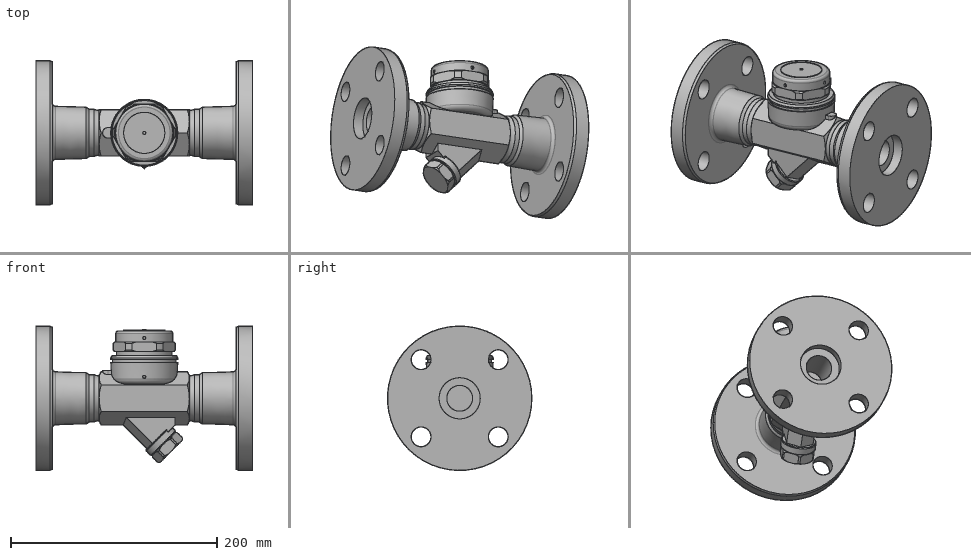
import cadquery as cq
import math

half_length = 105.0
flange_dia = 140.0
flange_back_x = 89.0
flange_chamfer_length = 2.5
flange_chamfer_depth = 1.0
bolt_hole_dia = 19.0
bolt_hole_offset = 37.4
socket_dia = 40.0
socket_depth = 10.0
bore_dia = 25.0
stub_root_dia = 51.7
stub_root_fillet = 3.2
stub_tip_dia = 50.0
stub_tip_x = 56.3
neck_dia = 46.0
neck_outer_x = 53.3
neck_inner_x = 48.7
neck_rounding = 1.0

body_half_length = 44.0
body_across_flats = 45.0
body_end_dia = 43.3
body_chamfer_length = 2.3

bonnet_dia = 65.0
bonnet_base_dia = 63.8
bonnet_bottom_z = 13.6
bonnet_fillet = 5.2
groove_dia = 62.0
groove_bottom_z = 34.6
groove_top_z = 37.5
rim_top_z = 41.4
rim_chamfer_length = 2.3
rim_chamfer_depth = 1.3

cap_neck_dia = 54.0
cap_hex_bottom_z = 45.2
cap_hex_top_z = 54.5
cap_hex_across_flats = 55.5
cap_hex_corner_dia = 60.5
cap_hex_chamfer = 1.5
cap_dia = 55.5
cap_top_z = 65.3
cap_fillet = 2.7
cap_disc_dia = 40.0
cap_disc_height = 0.6
cap_hole_z = 58.4
cap_hole_depth = 2.0
cap_hole_count = 4

small_dia = 3.0
top_pip_height = 0.6
side_pip_z = 20.8
side_pip_tip_y = -34.9

lug_width = 10.0
lug_end_x = -40.3
lug_top_z = 27.0

leg_axis_x = -25.2
leg_across_flats = 26.0
leg_length = 54.4
web_length = 57.3
web_side_x = 30.0
washer_dia = 34.0
washer_thickness = 8.0
washer_chamfer = 0.8
plug_across_flats = 30.5
plug_height = 10.3
plug_chamfer = 1.5

leg_plane = cq.Plane(origin=(leg_axis_x, 0, 0), xDir=(1, 0, 1), normal=(1, 0, -1))


def across_corners(across_flats):
    return across_flats / math.cos(math.pi / 6)


def cylinder(plane, diameter, start, height):
    """Cylinder along the normal of a plane, starting a given distance from it."""
    return cq.Workplane(plane).workplane(offset=start).circle(diameter / 2).extrude(height)


def hex_prism(plane, across_flats, start, height):
    """Hexagonal prism along the normal of a plane, with two corners on the local X axis."""
    corners = across_corners(across_flats)
    return cq.Workplane(plane).workplane(offset=start).polygon(6, corners).extrude(height)


def chamfered_hex(plane, across_flats, corner_dia, start, height, chamfer):
    """Hexagonal prism trimmed by a chamfered cylinder that blunts its corners."""
    trim = cylinder(plane, corner_dia, start, height).edges("%CIRCLE").chamfer(chamfer)
    return hex_prism(plane, across_flats, start, height).intersect(trim)


def make_body():
    plane = cq.Plane(origin=(0, 0, 0), xDir=(0, 0, 1), normal=(1, 0, 0))
    prism = hex_prism(plane, body_across_flats, -body_half_length, 2 * body_half_length)
    corner_radius = across_corners(body_across_flats) / 2
    shoulder_x = body_half_length - body_chamfer_length
    trim = (
        cq.Workplane("XY")
        .moveTo(-body_half_length, 0)
        .lineTo(-body_half_length, body_end_dia / 2)
        .lineTo(-shoulder_x, corner_radius)
        .lineTo(shoulder_x, corner_radius)
        .lineTo(body_half_length, body_end_dia / 2)
        .lineTo(body_half_length, 0)
        .close()
        .revolve(360, (0, 0, 0), (1, 0, 0))
    )
    return prism.intersect(trim)


def make_end():
    """Neck, tapered stub and flange on the +X side, drilled and bored."""
    neck_radius = neck_dia / 2
    root_radius = stub_root_dia / 2
    flange_radius = flange_dia / 2
    end = (
        cq.Workplane("XY")
        .moveTo(0, 0)
        .lineTo(0, neck_radius - neck_rounding)
        .lineTo(body_half_length, neck_radius - neck_rounding)
        .tangentArcPoint((neck_inner_x, neck_radius), relative=False)
        .lineTo(neck_outer_x, neck_radius)
        .lineTo(stub_tip_x, stub_tip_dia / 2)
        .lineTo(flange_back_x - stub_root_fillet, root_radius)
        .tangentArcPoint((flange_back_x, root_radius + stub_root_fillet), relative=False)
        .lineTo(flange_back_x, flange_radius - flange_chamfer_depth)
        .lineTo(flange_back_x + flange_chamfer_length, flange_radius)
        .lineTo(half_length, flange_radius)
        .lineTo(half_length, 0)
        .close()
        .revolve(360, (0, 0, 0), (1, 0, 0))
    )
    bolt_holes = (
        cq.Workplane("YZ", origin=(flange_back_x, 0, 0))
        .rect(2 * bolt_hole_offset, 2 * bolt_hole_offset, forConstruction=True)
        .vertices()
        .circle(bolt_hole_dia / 2)
        .extrude(half_length - flange_back_x)
    )
    bore = cylinder("YZ", bore_dia, body_half_length, half_length - body_half_length)
    socket = cylinder("YZ", socket_dia, half_length - socket_depth, socket_depth)
    return end.cut(bolt_holes).cut(bore).cut(socket)


def make_bonnet():
    """Turned bonnet with a rounded foot, a groove and a chamfered rim."""
    base_radius = bonnet_base_dia / 2
    radius = bonnet_dia / 2
    groove_radius = groove_dia / 2
    fillet_drop = bonnet_fillet * math.sqrt(0.5)
    return (
        cq.Workplane("XZ")
        .moveTo(0, bonnet_bottom_z)
        .lineTo(base_radius - bonnet_fillet, bonnet_bottom_z)
        .threePointArc(
            (base_radius - bonnet_fillet + fillet_drop, bonnet_bottom_z + bonnet_fillet - fillet_drop),
            (base_radius, bonnet_bottom_z + bonnet_fillet),
        )
        .lineTo(radius, groove_bottom_z)
        .lineTo(groove_radius, groove_bottom_z)
        .lineTo(groove_radius, groove_top_z)
        .lineTo(radius, groove_top_z)
        .lineTo(radius, rim_top_z - rim_chamfer_length)
        .lineTo(radius - rim_chamfer_depth, rim_top_z)
        .lineTo(0, rim_top_z)
        .close()
        .revolve(360, (0, 0, 0), (0, 1, 0))
    )


def make_cap():
    """Neck, hexagon and rounded head with a raised disc and radial holes."""
    neck = cylinder("XY", cap_neck_dia, rim_top_z, cap_hex_bottom_z - rim_top_z)
    hexagon = chamfered_hex(
        "XY",
        cap_hex_across_flats,
        cap_hex_corner_dia,
        cap_hex_bottom_z,
        cap_hex_top_z - cap_hex_bottom_z,
        cap_hex_chamfer,
    )
    head = cylinder("XY", cap_dia, cap_hex_top_z, cap_top_z - cap_hex_top_z)
    head = head.faces(">Z").edges().fillet(cap_fillet)
    disc = cylinder("XY", cap_disc_dia, cap_top_z, cap_disc_height)
    pip = cylinder("XY", small_dia, cap_top_z + cap_disc_height, top_pip_height)
    cap = neck.union(hexagon).union(head).union(disc).union(pip)
    hole = cylinder("YZ", small_dia, cap_dia / 2 - cap_hole_depth, 2 * cap_hole_depth)
    hole = hole.translate((0, 0, cap_hole_z))
    for index in range(cap_hole_count):
        cap = cap.cut(hole.rotate((0, 0, 0), (0, 0, 1), index * 360 / cap_hole_count))
    return cap


def make_side_pip():
    """Pointed pip on the front of the bonnet, 90 degrees at its tip."""
    base_y = side_pip_tip_y + small_dia / 2
    shank_y = -groove_dia / 2
    return (
        cq.Workplane("XY")
        .moveTo(0, side_pip_tip_y)
        .lineTo(small_dia / 2, base_y)
        .lineTo(small_dia / 2, shank_y)
        .lineTo(0, shank_y)
        .close()
        .revolve(360, (0, 0, 0), (0, 1, 0))
        .translate((0, 0, side_pip_z))
    )


def make_lug():
    """Round-ended lug reaching from the body ridge into the bonnet."""
    centre_x = lug_end_x + lug_width / 2
    round_end = cylinder("XY", lug_width, 0, lug_top_z).translate((centre_x, 0, 0))
    bar = cq.Workplane("XY").box(-centre_x, lug_width, lug_top_z, centered=(False, True, False))
    return round_end.union(bar.translate((centre_x, 0, 0)))


def make_leg():
    """Hexagonal leg with a filling web, a seat and a hexagonal plug on a washer."""
    leg = hex_prism(leg_plane, leg_across_flats, 0, leg_length)
    web = cq.Workplane(leg_plane).box(
        web_length, leg_across_flats, web_length, centered=(False, True, False)
    )
    web_limits = cq.Workplane("XY").box(
        web_side_x - leg_axis_x, leg_across_flats, web_length, centered=(False, True, False)
    )
    web = web.intersect(web_limits.translate((leg_axis_x, 0, -web_length)))
    seat = cylinder(leg_plane, washer_dia, leg_length, washer_thickness)
    washer = seat.edges("%CIRCLE").chamfer(washer_chamfer)
    plug = chamfered_hex(
        leg_plane,
        plug_across_flats,
        washer_dia,
        leg_length + washer_thickness,
        plug_height,
        plug_chamfer,
    )
    return leg.union(web).cut(seat).union(washer).union(plug)


end = make_end()
result = (
    make_body()
    .union(end)
    .union(end.mirror("YZ"))
    .union(make_bonnet())
    .union(make_cap())
    .union(make_side_pip())
    .union(make_lug())
    .union(make_leg())
)